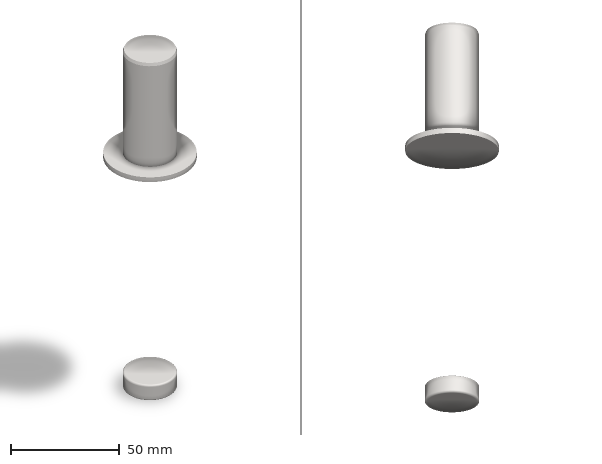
import cadquery as cq

total_height = 184.0

shank_diameter = 25.0

flange_diameter = 43.0
flange_thickness = 2.5
pin_length = 58.9
chamfer_height = 1.5
chamfer_inset = 0.5

disc_thickness = 8.5
disc_rim_radius = 1.0


def make_flanged_pin():
    """Round shank standing on a thin flange, with a chamfered top edge."""
    shank_radius = shank_diameter / 2
    flange_radius = flange_diameter / 2
    flange_bottom = total_height - pin_length
    flange_top = flange_bottom + flange_thickness
    half_section = [
        (0, flange_bottom),
        (flange_radius, flange_bottom),
        (flange_radius, flange_top),
        (shank_radius, flange_top),
        (shank_radius, total_height - chamfer_height),
        (shank_radius - chamfer_inset, total_height),
        (0, total_height),
    ]
    axis_start = (0, 0)
    axis_end = (0, 1)
    return cq.Workplane("XZ").polyline(half_section).close().revolve(360, axis_start, axis_end)


def make_disc():
    """Short disc on the pin axis, rounded on both rims."""
    return (
        cq.Workplane("XY")
        .circle(shank_diameter / 2)
        .extrude(disc_thickness)
        .faces("<Z or >Z")
        .edges()
        .fillet(disc_rim_radius)
    )


flanged_pin = make_flanged_pin()
disc = make_disc()

result = cq.Compound.makeCompound([flanged_pin.val(), disc.val()])